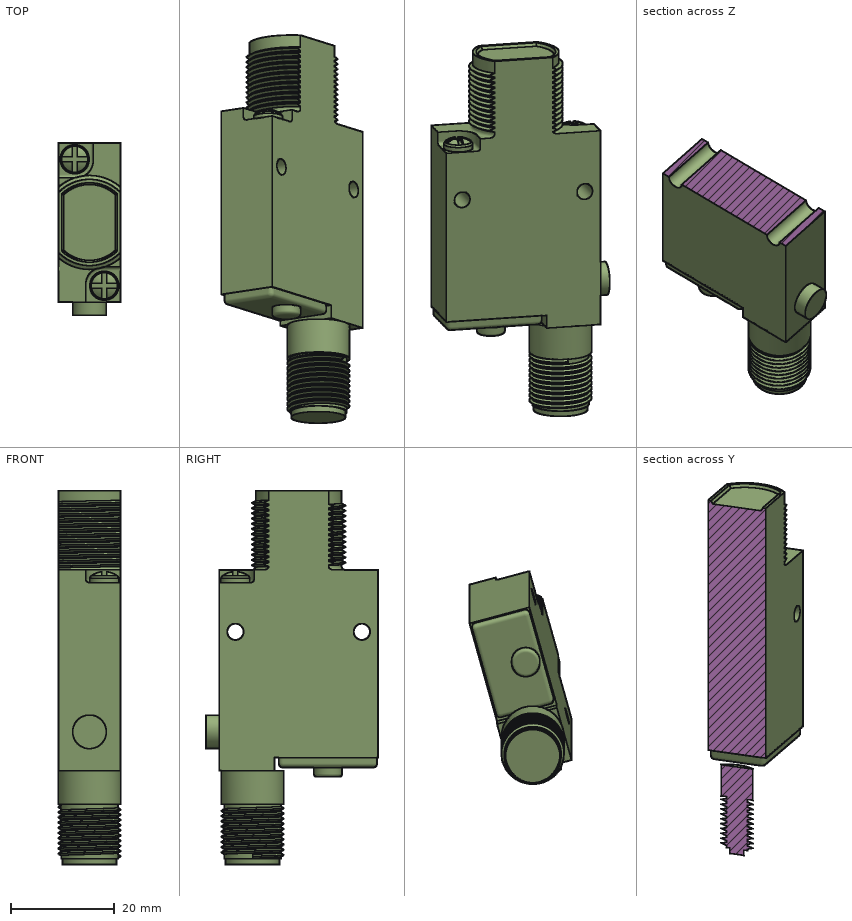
import cadquery as cq
import math

body_width = 12.0
body_length = 30.7
body_top = 56.85
body_bottom = 20.65
foot_bottom = 18.1
foot_length = 10.7
body_front = -body_length / 2

hole_diameter = 3.1
hole_offset = 12.2
hole_height = 44.9

button_diameter = 6.5
button_projection = 2.57
button_height = 25.6

barrel_top = 72.12
barrel_core_diameter = 16.65
barrel_thread_diameter = 18.15
barrel_thread_top = 70.5
barrel_thread_bottom = 57.0
barrel_base_fillet = 0.7
lens_inset = 0.65
lens_taper = 0.35
lens_depth = 0.6

connector_y = -8.9
connector_diameter = 12.09
connector_core_diameter = 11.0
connector_tip_diameter = 10.5
collar_bottom = 11.6
connector_thread_bottom = 1.1

thread_pitch = 1.0
thread_overlap = 0.1
ridge_width_ratio = 0.9

pocket_depth = 2.45
pocket_corner_radius = 3.4
pocket_floor_fillet = 0.65
screw_x = 2.85
screw_y = 12.2
pocket_inner_x = 0.73
pocket_inner_y = 8.58

screw_diameter = 5.6
screw_rim_height = 0.87
screw_dome_diameter = 5.08
screw_dome_base = 1.3
screw_dome_height = 0.85
slot_width = 0.95

plate_back = 15.15
plate_front = -3.85
plate_width = 11.5
plate_bottom = 18.7
plate_corner_fillet = 0.85
plate_edge_fillet = 0.8
plate_screw_x = -2.6
plate_screw_y = 5.65
plate_screw_diameter = 5.5
plate_screw_bottom = 16.9
plate_screw_fillet = 0.6


def block(width, y_min, y_max, z_min, z_max):
    """Box centred on X between the given Y and Z limits."""
    box = cq.Workplane("XY").box(width, y_max - y_min, z_max - z_min, centered=(True, False, False))
    return box.translate((0, y_min, z_min))


def cylinder(diameter, z_min, z_max):
    return cq.Workplane("XY").workplane(offset=z_min).circle(diameter / 2).extrude(z_max - z_min)


def half_turn(shape):
    return shape.rotate((0, 0, 0), (0, 0, 1), 180)


def thread_ridge(core_diameter, crest_diameter, z_min, z_max):
    """Right-handed helical ridge of triangular section, rooted in the core."""
    root_radius = core_diameter / 2 - thread_overlap
    height = z_max - z_min - thread_pitch
    half_base = ridge_width_ratio * thread_pitch / 2
    helix = cq.Wire.makeHelix(thread_pitch, height, root_radius)
    section = (
        cq.Workplane("XZ")
        .moveTo(root_radius, -half_base)
        .lineTo(crest_diameter / 2, 0)
        .lineTo(root_radius, half_base)
        .close()
    )
    ridge = section.sweep(cq.Workplane(helix), isFrenet=True)
    return ridge.translate((0, 0, z_min + thread_pitch / 2))


def cross_slot(diameter, depth, z_min):
    bar = cq.Workplane("XY").box(diameter, slot_width, depth, centered=(True, True, False))
    return bar.union(bar.rotate((0, 0, 0), (0, 0, 1), 90)).translate((0, 0, z_min))


def make_housing():
    housing = block(body_width, body_front, -body_front, body_bottom, body_top)
    foot = block(body_width, body_front, body_front + foot_length, foot_bottom, body_bottom)
    housing = housing.union(foot)
    holes = (
        cq.Workplane("YZ")
        .pushPoints([(-hole_offset, hole_height), (hole_offset, hole_height)])
        .circle(hole_diameter / 2)
        .extrude(body_width, both=True)
    )
    button = (
        cq.Workplane("XZ", origin=(0, body_front, button_height))
        .circle(button_diameter / 2)
        .extrude(button_projection)
    )
    return housing.cut(holes).union(button)


def make_screw_pocket():
    """Cutter for the pocket in the -X, +Y top corner, open to both outer sides."""
    cutter = (
        cq.Workplane("XY")
        .box(body_width, body_length, body_top, centered=False)
        .translate((pocket_inner_x - body_width, pocket_inner_y, body_top - pocket_depth))
    )
    cutter = cutter.edges("|Z and >X and <Y").fillet(pocket_corner_radius)
    return cutter.faces("<Z").edges().fillet(pocket_floor_fillet)


def make_screw():
    """Domed cross-slotted head in the -X, +Y pocket."""
    rim_radius = screw_diameter / 2
    dome_radius = screw_dome_diameter / 2
    dome_top = screw_dome_base + screw_dome_height
    sphere_radius = (dome_radius**2 + screw_dome_height**2) / (2 * screw_dome_height)
    head = (
        cq.Workplane("XZ")
        .lineTo(rim_radius, 0)
        .lineTo(rim_radius, screw_rim_height)
        .lineTo(dome_radius, screw_dome_base)
        .radiusArc((0, dome_top), -sphere_radius)
        .close()
        .revolve(360, (0, 0, 0), (0, 1, 0))
    )
    head = head.cut(cross_slot(screw_diameter, screw_dome_height, screw_dome_base))
    return head.translate((-screw_x, screw_y, body_top - pocket_depth))


def make_barrel_core():
    core_radius = barrel_core_diameter / 2
    core = (
        cq.Workplane("XZ")
        .moveTo(0, body_top)
        .lineTo(core_radius + barrel_base_fillet, body_top)
        .radiusArc((core_radius, body_top + barrel_base_fillet), barrel_base_fillet)
        .lineTo(core_radius, barrel_top)
        .lineTo(0, barrel_top)
        .close()
        .revolve(360, (0, 0, 0), (0, 1, 0))
    )
    slab = block(body_width, body_front, -body_front, body_top, barrel_top)
    return core.intersect(slab).cut(make_lens_recess())


def make_barrel_thread():
    """Barrel thread ridge starting on the -X side, interrupted by the two flat sides of the barrel."""
    ridge = thread_ridge(barrel_core_diameter, barrel_thread_diameter, barrel_thread_bottom, barrel_thread_top)
    slab = block(body_width, body_front, -body_front, body_top, barrel_top)
    return half_turn(ridge).intersect(slab)


def make_lens_recess():
    """Shallow recess with sloping walls that follows the barrel outline."""
    half_width = body_width / 2 - lens_inset
    radius = barrel_core_diameter / 2 - lens_inset
    half_chord = math.sqrt(radius**2 - half_width**2)
    return (
        cq.Workplane("XY", origin=(0, 0, barrel_top))
        .moveTo(half_width, -half_chord)
        .lineTo(half_width, half_chord)
        .threePointArc((0, radius), (-half_width, half_chord))
        .lineTo(-half_width, -half_chord)
        .threePointArc((0, -radius), (half_width, -half_chord))
        .close()
        .extrude(-lens_depth, taper=math.degrees(math.atan2(lens_taper, lens_depth)))
    )


def make_connector():
    collar = cylinder(connector_diameter, collar_bottom, foot_bottom)
    core = cylinder(connector_core_diameter, connector_thread_bottom, collar_bottom)
    tip = cylinder(connector_tip_diameter, 0, connector_thread_bottom)
    ridge = thread_ridge(
        connector_core_diameter, connector_diameter, connector_thread_bottom, collar_bottom
    )
    connector = core.union(ridge, clean=False).union(collar, clean=False).union(tip, clean=False)
    return connector.translate((0, connector_y, 0))


def make_bottom_cover():
    plate = block(plate_width, plate_front, plate_back, plate_bottom, body_bottom)
    plate = plate.edges("|Z").fillet(plate_corner_fillet)
    plate = plate.faces("<Z").edges().fillet(plate_edge_fillet)
    screw = cylinder(plate_screw_diameter, plate_screw_bottom, plate_bottom)
    screw = screw.faces("<Z").edges().fillet(plate_screw_fillet)
    return plate.union(screw.translate((plate_screw_x, plate_screw_y, 0)))


pocket = make_screw_pocket()
screw = make_screw()
result = make_housing().cut(pocket).cut(half_turn(pocket)).union(make_barrel_core())
result = result.union(screw).union(half_turn(screw)).union(make_bottom_cover())
result = result.union(make_barrel_thread(), clean=False).union(make_connector(), clean=False)